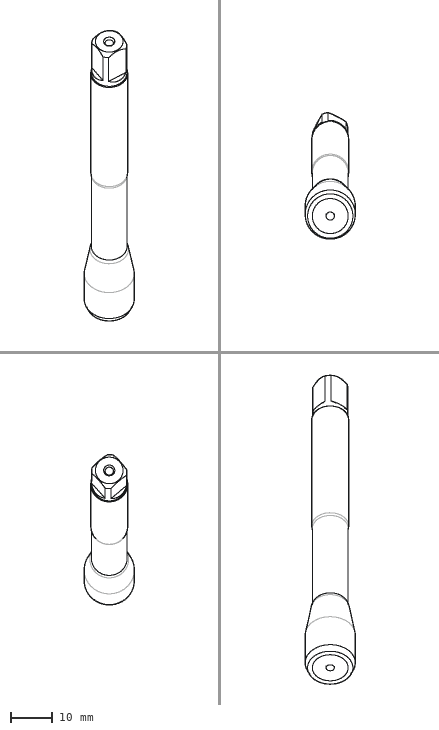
import cadquery as cq

total_length = 100.0
bore_diameter = 2.0
bore_mouth_diameter = 2.7
bore_mouth_depth = 0.6

shank_diameter = 9.0
neck_diameter = 8.7
head_diameter = 8.6
neck_top = 49.3
shank_bottom = 50.1
shank_top = 87.9
head_bottom = 88.1

square_width = 7.0
ledge_inner_height = 90.0
ledge_outer_height = 89.4
tip_diameter = 6.7
tip_chamfer_height = 1.0

collar_diameter = 12.2
collar_top_diameter = 9.4
collar_bottom_diameter = 11.0
collar_height = 21.9
collar_cone_top = 20.9
collar_cone_bottom = 11.6
collar_chamfer_height = 1.7


def revolve_outline(points):
    """Revolve a closed (radius, height) outline about the Z axis."""
    return cq.Workplane("XZ").polyline(points).close().revolve(360, (0, 0), (0, 1))


def flat_cutter():
    """Material outside one flat of the square, with a sloping ledge below it."""
    flat_distance = square_width / 2
    head_radius = head_diameter / 2
    outline = [
        (flat_distance, ledge_inner_height),
        (head_radius, ledge_outer_height),
        (shank_diameter, ledge_outer_height),
        (shank_diameter, total_length),
        (flat_distance, total_length),
    ]
    return cq.Workplane("XZ").polyline(outline).close().extrude(shank_diameter / 2, both=True)


def make_shank():
    """Stepped round shank with a square drive and a bore along its axis."""
    bore_radius = bore_diameter / 2
    shank = revolve_outline([
        (bore_radius, 0),
        (neck_diameter / 2, 0),
        (neck_diameter / 2, neck_top),
        (shank_diameter / 2, shank_bottom),
        (shank_diameter / 2, shank_top),
        (head_diameter / 2, head_bottom),
        (head_diameter / 2, total_length - tip_chamfer_height),
        (tip_diameter / 2, total_length),
        (bore_mouth_diameter / 2, total_length),
        (bore_radius, total_length - bore_mouth_depth),
    ])
    for side in range(4):
        shank = shank.cut(flat_cutter().rotate((0, 0, 0), (0, 0, 1), 90 * side))
    return shank


def make_collar():
    """Tapered collar whose bore fits the neck of the shank."""
    return revolve_outline([
        (neck_diameter / 2, 0),
        (collar_bottom_diameter / 2, 0),
        (collar_diameter / 2, collar_chamfer_height),
        (collar_diameter / 2, collar_cone_bottom),
        (collar_top_diameter / 2, collar_cone_top),
        (neck_diameter / 2, collar_height),
    ])


shank = make_shank()
collar = make_collar()

result = cq.Compound.makeCompound([shank.val(), collar.val()])